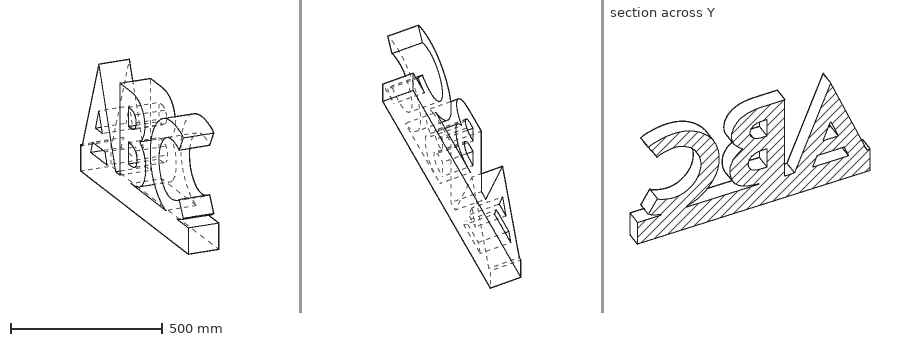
import cadquery as cq
import math

LENGTH = 861.44
THICKNESS = 111.15
HEIGHT = 428.05

BASE_HEIGHT = 93.4
CAP_HEIGHT = 324.6

A_CENTER_X = 146.0
A_HEIGHT = HEIGHT - BASE_HEIGHT
A_HALF_WIDTH = 134.3
A_INNER_HEIGHT = 169.1
A_INNER_HALF_WIDTH = 65.5
A_BAR_BOTTOM = 41.1
A_BAR_TOP = 98.6

B_LEFT = 315.2
B_BOWL_START_X = 403.2
B_NOTCH = (473.1, 171.2)
B_UPPER_RIGHT = (514.0, 238.3)
B_LOWER_RIGHT = (520.1, 95.6)
B_UPPER_CONTROLS = [(457.0, CAP_HEIGHT), (B_UPPER_RIGHT[0], 274.6)]
B_UPPER_NOTCH_CONTROL = (B_UPPER_RIGHT[0], 197.2)
B_LOWER_NOTCH_CONTROL = (B_LOWER_RIGHT[0], 143.0)
B_LOWER_CONTROLS = [(B_LOWER_RIGHT[0], 48.0), (463.4, 0)]

B_WINDOW_LEFT = 382.3
B_WINDOW_STRAIGHT_X = 405.0
B_UPPER_WINDOW_RIGHT = 444.3
B_UPPER_WINDOW_BOTTOM = 194.6
B_UPPER_WINDOW_TOP = 262.5
B_LOWER_WINDOW_RIGHT = 450.8
B_LOWER_WINDOW_BOTTOM = 62.3
B_LOWER_WINDOW_TOP = 138.0

C_CENTER_Z = CAP_HEIGHT / 2
C_CENTER_X = 725.0
C_OUTER_LEFT = 557.5
C_OUTER_HALF_HEIGHT = 168.0
C_INNER_LEFT = 627.2
C_INNER_HALF_HEIGHT = 105.3
C_OUTER_TIP = (821.5, 142.0)
C_INNER_TIP = (788.0, 87.0)
C_OUTER_TIP_CONTROLS = [(750.0, C_OUTER_HALF_HEIGHT), (805.0, 153.5), (817.5, 145.0)]
C_INNER_TIP_CONTROLS = [(738.0, C_INNER_HALF_HEIGHT), (775.0, 96.0), (783.5, 90.2)]

ROUNDNESS = math.tan(math.radians(22.5))


def curve_to(sketch, start, controls, end):
    """Chain quadratic curves that join smoothly midway between neighbouring controls."""
    joints = [((a[0] + b[0]) / 2, (a[1] + b[1]) / 2) for a, b in zip(controls, controls[1:])]
    starts = [start] + joints
    ends = joints + [end]
    for first, control, last in zip(starts, controls, ends):
        sketch = sketch.bezier([first, control, last])
    return sketch.moveTo(*end)


def quarter_controls(start, end, corner):
    """Controls of a round quarter whose end tangents meet at the corner."""
    return [
        tuple(p + ROUNDNESS * (c - p) for p, c in zip(start, corner)),
        tuple(p + ROUNDNESS * (c - p) for p, c in zip(end, corner)),
    ]


def quarter_to(sketch, start, end, corner):
    return curve_to(sketch, start, quarter_controls(start, end, corner), end)


def baseline_sketch():
    """XZ sketch with its origin on the baseline at the left end of the base."""
    return cq.Workplane("XZ", origin=(0, THICKNESS, BASE_HEIGHT))


def extrude_letter(sketch):
    return sketch.close().extrude(THICKNESS)


def make_base():
    return cq.Workplane("XY").box(LENGTH, THICKNESS, BASE_HEIGHT, centered=False)


def make_letter_a():
    def inner_half_width(z):
        return A_INNER_HALF_WIDTH * (1 - z / A_INNER_HEIGHT)

    def symmetric_prism(bottom, bottom_half, top, top_half):
        points = [(A_CENTER_X - bottom_half, bottom), (A_CENTER_X + bottom_half, bottom)]
        if top_half > 0:
            points.append((A_CENTER_X + top_half, top))
        points.append((A_CENTER_X - top_half, top))
        return extrude_letter(baseline_sketch().polyline(points))

    body = symmetric_prism(0, A_HALF_WIDTH, A_HEIGHT, 0)
    upper_window = symmetric_prism(A_BAR_TOP, inner_half_width(A_BAR_TOP), A_INNER_HEIGHT, 0)
    foot_gap = symmetric_prism(0, A_INNER_HALF_WIDTH, A_BAR_BOTTOM, inner_half_width(A_BAR_BOTTOM))
    return body.cut(upper_window).cut(foot_gap)


def make_b_window(bottom, top, right, full_lower_corner):
    """D-shaped window, round on the right; a full lower corner is one curve, fuller than a circle."""
    middle = (bottom + top) / 2
    upper_start = (B_WINDOW_STRAIGHT_X, top)
    extreme = (right, middle)
    lower_end = (B_WINDOW_STRAIGHT_X, bottom)
    sketch = baseline_sketch().moveTo(B_WINDOW_LEFT, bottom)
    sketch = sketch.lineTo(B_WINDOW_LEFT, top).lineTo(*upper_start)
    sketch = quarter_to(sketch, upper_start, extreme, (right, top))
    if full_lower_corner:
        sketch = curve_to(sketch, extreme, [(right, bottom)], lower_end)
    else:
        sketch = quarter_to(sketch, extreme, lower_end, (right, bottom))
    return extrude_letter(sketch)


def make_letter_b():
    upper_start = (B_BOWL_START_X, CAP_HEIGHT)
    lower_end = (B_BOWL_START_X, 0)
    sketch = baseline_sketch().moveTo(B_LEFT, 0)
    sketch = sketch.lineTo(B_LEFT, CAP_HEIGHT).lineTo(*upper_start)
    sketch = curve_to(sketch, upper_start, B_UPPER_CONTROLS, B_UPPER_RIGHT)
    sketch = curve_to(sketch, B_UPPER_RIGHT, [B_UPPER_NOTCH_CONTROL], B_NOTCH)
    sketch = curve_to(sketch, B_NOTCH, [B_LOWER_NOTCH_CONTROL], B_LOWER_RIGHT)
    sketch = curve_to(sketch, B_LOWER_RIGHT, B_LOWER_CONTROLS, lower_end)
    upper_window = make_b_window(
        B_UPPER_WINDOW_BOTTOM, B_UPPER_WINDOW_TOP, B_UPPER_WINDOW_RIGHT, full_lower_corner=False
    )
    lower_window = make_b_window(
        B_LOWER_WINDOW_BOTTOM, B_LOWER_WINDOW_TOP, B_LOWER_WINDOW_RIGHT, full_lower_corner=True
    )
    return extrude_letter(sketch).cut(upper_window).cut(lower_window)


def make_letter_c():
    def half_edge(left, half_height, tip_controls, tip):
        """Start, controls and end of the curves from the left extreme up and round to the tip."""
        extreme = (left, 0)
        crown = (C_CENTER_X, half_height)
        rise = quarter_controls(extreme, crown, (left, half_height))
        return [(extreme, rise, crown), (crown, tip_controls, tip)]

    def above(point):
        return (point[0], C_CENTER_Z + point[1])

    def below(point):
        return (point[0], C_CENTER_Z - point[1])

    def full_edge(sketch, half):
        """Follow an edge from its upper tip round the left side to its lower tip."""
        for start, controls, end in reversed(half):
            sketch = curve_to(sketch, above(end), [above(c) for c in reversed(controls)], above(start))
        for start, controls, end in half:
            sketch = curve_to(sketch, below(start), [below(c) for c in controls], below(end))
        return sketch

    outer = half_edge(C_OUTER_LEFT, C_OUTER_HALF_HEIGHT, C_OUTER_TIP_CONTROLS, C_OUTER_TIP)
    inner = half_edge(C_INNER_LEFT, C_INNER_HALF_HEIGHT, C_INNER_TIP_CONTROLS, C_INNER_TIP)
    sketch = full_edge(baseline_sketch(), outer)
    sketch = full_edge(sketch.moveTo(*above(C_INNER_TIP)), inner)
    for place in (above, below):
        sketch = sketch.moveTo(*place(C_OUTER_TIP)).lineTo(*place(C_INNER_TIP))
    return sketch.consolidateWires().extrude(THICKNESS)


result = make_base().union(make_letter_a()).union(make_letter_b()).union(make_letter_c())